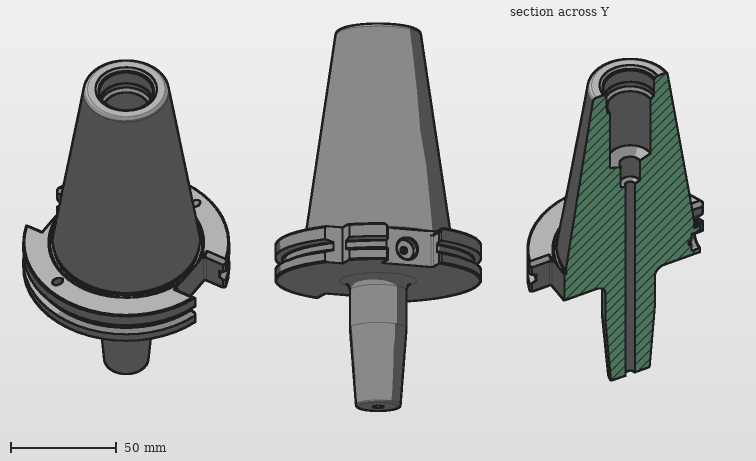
import cadquery as cq
import math

chamfer_angle = 45.0

total_length = 181.6
gauge_z = 79.9
flange_top_z = 78.5
flange_bottom_z = 61.0
groove_z = 69.0
nose_cone_top_z = 38.0

gauge_radius = 34.9
taper_half_rate = 7 / 48
taper_end_radius = gauge_radius - (total_length - gauge_z) * taper_half_rate
taper_end_fillet = 2.0

gauge_land = 0.5
neck_radius = 34.5
recess_floor_radius = 36.0
recess_rim_radius = 36.9
recess_depth = 0.7

flange_diameter = 97.5
flange_radius = flange_diameter / 2
rim_chamfer = 0.5
groove_root_radius = 45.4
groove_root_width = 3.6
groove_mouth_width = 6.2
groove_root_fillet = 0.4

nose_radius = 13.5
tip_radius = 10.5
tip_fillet = 1.0
nose_root_fillet = 4.7

mouth_radius = 14.5
mouth_inner_radius = 13.0
mouth_depth = 1.0
pilot_radius = 12.7
pilot_start_depth = 1.8
pilot_depth = 8.9
lower_pilot_radius = 12.5
lower_pilot_depth = 11.6
thread_radius = 10.9
thread_depth = 47.2
cone_half_angle = math.radians(70)
middle_radius = 5.0
middle_depth = 61.7
coolant_diameter = 4.9
coolant_radius = coolant_diameter / 2

slot_width = 25.8
slot_floor_left = 37.6
slot_floor_right = 35.6
slot_corner_fillet = 0.9
slot_top_chamfer = 2.2
slot_mouth_chamfer = 0.9
slot_overrun = 1.8

notch_offset = 29.8

seat_radius = 5.0
seat_depth = 4.5
seat_chamfer = 0.4
centre_mark_radius = 1.6
centre_mark_chamfer = 0.7
centre_mark_depth = 1.5

port_radius = 2.0
port_circle_radius = 41.5
port_angle = 70.0
port_tilt = 45.0
port_length = 9.0


def turned_body():
    """Taper, flange, gripper groove and nose as one turned shape."""
    root_half = groove_root_width / 2
    mouth_half = groove_mouth_width / 2
    profile = (
        cq.Workplane("XZ")
        .moveTo(0, 0)
        .lineTo(tip_radius, 0)
        .lineTo(nose_radius, nose_cone_top_z)
        .lineTo(nose_radius, flange_bottom_z - nose_root_fillet)
        .radiusArc((nose_radius + nose_root_fillet, flange_bottom_z), nose_root_fillet)
        .lineTo(flange_radius - rim_chamfer, flange_bottom_z)
        .lineTo(flange_radius, flange_bottom_z + rim_chamfer)
        .lineTo(flange_radius, groove_z - mouth_half)
        .lineTo(groove_root_radius, groove_z - root_half)
        .lineTo(groove_root_radius, groove_z + root_half)
        .lineTo(flange_radius, groove_z + mouth_half)
        .lineTo(flange_radius, flange_top_z - rim_chamfer)
        .lineTo(flange_radius - rim_chamfer, flange_top_z)
        .lineTo(recess_rim_radius, flange_top_z)
        .lineTo(recess_floor_radius, flange_top_z - recess_depth)
        .lineTo(neck_radius, flange_top_z - recess_depth)
        .lineTo(neck_radius, gauge_z - gauge_land)
        .lineTo(gauge_radius, gauge_z - gauge_land)
        .lineTo(gauge_radius, gauge_z)
        .lineTo(taper_end_radius, total_length)
        .lineTo(0, total_length)
        .close()
    )
    body = profile.revolve(360, (0, 0, 0), (0, 1, 0))
    zone_half = (root_half + mouth_half) / 2
    root_zone = cq.selectors.BoxSelector(
        (-flange_radius, -flange_radius, groove_z - zone_half),
        (flange_radius, flange_radius, groove_z + zone_half),
    )
    body = body.edges("%CIRCLE").edges(root_zone).fillet(groove_root_fillet)
    body = body.faces(">Z").edges().fillet(taper_end_fillet)
    return body.faces("<Z").edges().fillet(tip_fillet)


def pull_stud_bore():
    """Stepped bore from the top face, ending in the through coolant hole."""
    thread_cone = (thread_radius - middle_radius) / math.tan(cone_half_angle)
    middle_cone = (middle_radius - coolant_radius) / math.tan(cone_half_angle)
    thread_chamfer = lower_pilot_radius - thread_radius
    steps = [
        (mouth_radius, 0),
        (mouth_inner_radius, mouth_depth),
        (pilot_radius, pilot_start_depth),
        (pilot_radius, pilot_depth),
        (lower_pilot_radius, pilot_depth),
        (lower_pilot_radius, lower_pilot_depth),
        (thread_radius, lower_pilot_depth + thread_chamfer),
        (thread_radius, thread_depth),
        (middle_radius, thread_depth + thread_cone),
        (middle_radius, middle_depth),
        (coolant_radius, middle_depth + middle_cone),
        (coolant_radius, total_length),
    ]
    outline = [(0, total_length)]
    outline += [(radius, total_length - depth) for radius, depth in steps]
    outline += [(0, 0)]
    return cq.Workplane("XZ").polyline(outline).close().revolve(360, (0, 0, 0), (0, 1, 0))


def drive_slot(side, floor):
    """Cutter for one drive slot; side is -1 or +1 along X, floor its distance from the axis."""
    outer = flange_radius + slot_overrun
    half = slot_width / 2
    height = flange_top_z - flange_bottom_z
    slot = (
        cq.Workplane("XY", origin=(side * (floor + outer) / 2, 0, flange_bottom_z))
        .box(outer - floor, slot_width, height, centered=(True, True, False))
        .faces("<X" if side > 0 else ">X")
        .edges("|Z")
        .fillet(slot_corner_fillet)
    )
    top_half = half + slot_top_chamfer
    top_bevel = (
        cq.Workplane("YZ", origin=(side * floor, 0, 0))
        .polyline([
            (-half, flange_top_z - slot_top_chamfer),
            (half, flange_top_z - slot_top_chamfer),
            (top_half, flange_top_z),
            (-top_half, flange_top_z),
        ])
        .close()
        .extrude(side * (outer - floor))
    )
    mouth_half = half + slot_mouth_chamfer
    rim_x = math.sqrt(flange_radius**2 - mouth_half**2)
    mouth_bevel = (
        cq.Workplane("XY", origin=(0, 0, flange_bottom_z))
        .polyline([
            (side * (rim_x - slot_mouth_chamfer), -half),
            (side * rim_x, -mouth_half),
            (side * outer, -mouth_half),
            (side * outer, mouth_half),
            (side * rim_x, mouth_half),
            (side * (rim_x - slot_mouth_chamfer), half),
        ])
        .close()
        .extrude(height)
    )
    return slot.union(top_bevel).union(mouth_bevel)


def corner_notch():
    """Square cut taking the flange rim away in the -X, +Y corner."""
    return (
        cq.Workplane("XY", origin=(-notch_offset, notch_offset, flange_bottom_z))
        .rect(-flange_radius, flange_radius, centered=False)
        .extrude(flange_top_z - flange_bottom_z)
    )


def slot_seat():
    """Flat-bottomed round seat with a small centre mark, sunk into the left slot floor."""
    floor_plane = cq.Workplane("YZ", origin=(-slot_floor_left, 0, groove_z))
    seat = floor_plane.circle(seat_radius).extrude(seat_depth)
    mouth = floor_plane.circle(seat_radius + seat_chamfer).extrude(seat_chamfer, taper=chamfer_angle)
    mark_plane = floor_plane.workplane(offset=seat_depth)
    mark_mouth = mark_plane.circle(centre_mark_radius).extrude(centre_mark_chamfer, taper=chamfer_angle)
    mark = mark_plane.circle(centre_mark_radius - centre_mark_chamfer).extrude(centre_mark_depth)
    return seat.union(mouth).union(mark_mouth).union(mark)


def coolant_port(angle):
    """Blind hole in the flange face, slanting down toward the axis."""
    tilt = math.radians(port_tilt)
    direction = cq.Vector(-math.sin(tilt), 0, -math.cos(tilt))
    mouth = cq.Vector(port_circle_radius, 0, flange_top_z)
    overrun = 2 * port_radius
    start = mouth - direction * overrun
    port = cq.Solid.makeCylinder(port_radius, port_length + overrun, start, direction)
    return cq.Workplane(port).rotate((0, 0, 0), (0, 0, 1), angle)


result = turned_body().cut(pull_stud_bore())
for side, floor in ((-1, slot_floor_left), (1, slot_floor_right)):
    result = result.cut(drive_slot(side, floor))
result = result.cut(corner_notch()).cut(slot_seat())
for angle in (port_angle, port_angle + 180):
    result = result.cut(coolant_port(angle))